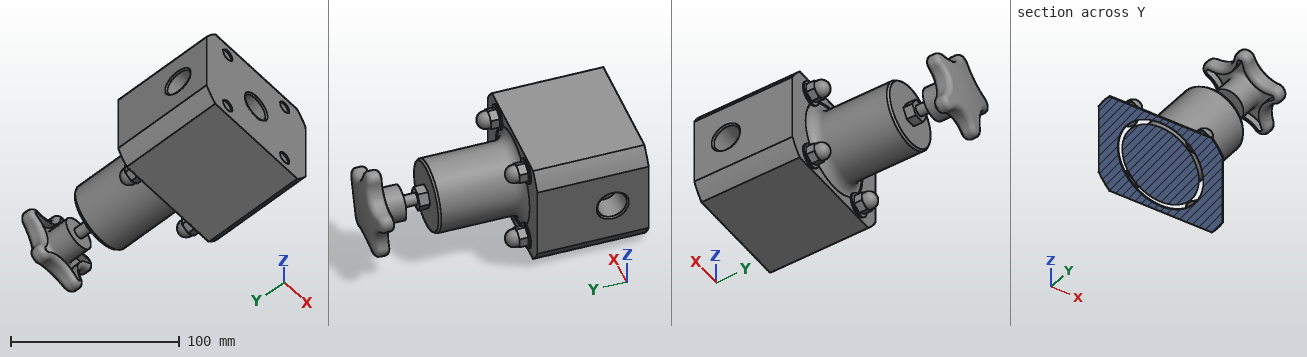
import cadquery as cq
import math


block_width = 88.8
block_height = 69.8
block_length = 69.8
corner_circle_diameter = 101.2

port_diameter = 18.3
port_mouth_diameter = 20.3
port_depth = 16.5
port_mouth_chamfer = (port_mouth_diameter - port_diameter) / 2
side_port_y = 22.6

stud_offset = 25.5
stud_hole_diameter = 8.5
stud_hole_depth = 1.0
washer_diameter = 15.8
washer_thickness = 1.0
cap_nut_flats = 11.0
cap_nut_hex_height = 5.5
cap_nut_collar_height = 1.5
cap_nut_corner_angle = 90
cap_nut_dome_radius = cap_nut_flats / 2

recess_diameter = 61.0
recess_depth = 1.0
bonnet_diameter = 45.7
bonnet_foot_diameter = 60.3
bonnet_length = 54.1
bonnet_chamfer_width = 1.0
bonnet_chamfer_length = 1.5
bonnet_flare_radius = (bonnet_foot_diameter - bonnet_diameter) / 2

stem_diameter = 7.5
stem_exposed_length = 9.7
lock_nut_flats = 12.9
lock_nut_height = 6.5
lock_nut_corner_angle = 0

hub_diameter = 22.1
hub_length = 12.5
lobe_count = 5
lobe_center_radius = 23.5
lobe_tip_radius = 5.5
scallop_radius = 13.5
crown_radius = 115.5
rim_fillet = 3.3
wheel_wall_thickness = 3.6
wheel_pocket_depth = 4.6
hub_root_fillet = 3.0

overall_length = 165.1
bonnet_end_y = block_length + bonnet_length
lock_nut_end_y = bonnet_end_y + lock_nut_height
hub_start_y = lock_nut_end_y + stem_exposed_length
wheel_start_y = hub_start_y + hub_length


def plane_at(y):
    """Workplane across the main axis; negative extrusions run toward +Y."""
    return cq.Workplane("XZ", origin=(0, y, 0))


def cylinder(diameter, start_y, length):
    return plane_at(start_y).circle(diameter / 2).extrude(-length)


def hexagon(flats, start_y, height, first_corner_angle):
    across_corners = flats / math.cos(math.pi / 6)
    return (
        plane_at(start_y)
        .transformed(rotate=(0, 0, first_corner_angle))
        .polygon(6, across_corners)
        .extrude(-height)
    )


def at_studs(y):
    return plane_at(y).rect(2 * stud_offset, 2 * stud_offset, forConstruction=True).vertices()


def port(face_point, inward):
    """Blind port with a chamfered mouth, as a cutting tool."""
    mouth = cq.Solid.makeCone(
        port_mouth_diameter / 2, port_diameter / 2, port_mouth_chamfer, face_point, inward
    )
    bore = cq.Solid.makeCylinder(port_diameter / 2, port_depth, face_point, inward)
    return cq.Workplane(bore.fuse(mouth))


def make_block():
    block = plane_at(0).rect(block_width, block_height).extrude(-block_length)
    block = block.intersect(cylinder(corner_circle_diameter, 0, block_length))
    block = block.cut(port(cq.Vector(0, 0, 0), cq.Vector(0, 1, 0)))
    for side in (-1, 1):
        side_face = cq.Vector(side * block_width / 2, side_port_y, 0)
        block = block.cut(port(side_face, cq.Vector(-side, 0, 0)))
    block = block.cut(at_studs(0).circle(stud_hole_diameter / 2).extrude(-stud_hole_depth))
    return block.cut(cylinder(recess_diameter, block_length - recess_depth, recess_depth))


def make_bonnet():
    """Turned body with a concave flare down to its foot."""
    foot_y = block_length - recess_depth
    flare_top_y = foot_y + bonnet_flare_radius
    radius = bonnet_diameter / 2
    flare_middle = bonnet_flare_radius * (1 - math.sqrt(0.5))
    return (
        cq.Workplane("XY")
        .moveTo(0, foot_y)
        .lineTo(bonnet_foot_diameter / 2, foot_y)
        .threePointArc((radius + flare_middle, foot_y + flare_middle), (radius, flare_top_y))
        .lineTo(radius, bonnet_end_y - bonnet_chamfer_length)
        .lineTo(radius - bonnet_chamfer_width, bonnet_end_y)
        .lineTo(0, bonnet_end_y)
        .close()
        .revolve(360, (0, 0, 0), (0, 1, 0))
    )


def make_cap_nut():
    """Washer, hexagon and domed cap, centred on the main axis."""
    hex_y = block_length + washer_thickness
    collar_y = hex_y + cap_nut_hex_height
    dome_y = collar_y + cap_nut_collar_height
    dome = cq.Workplane("XY").sphere(cap_nut_dome_radius).translate((0, dome_y, 0))
    return (
        cylinder(washer_diameter, block_length, washer_thickness)
        .union(hexagon(cap_nut_flats, hex_y, cap_nut_hex_height, cap_nut_corner_angle))
        .union(cylinder(cap_nut_flats, collar_y, cap_nut_collar_height))
        .union(dome)
    )


def star_prism(inset, start_y, height):
    """Star with round lobes joined by tangent concave arcs, shrunk by an inset."""
    half_pitch = math.pi / lobe_count
    tip_radius = lobe_tip_radius - inset
    inset_scallop_radius = scallop_radius + inset

    half_spacing = lobe_center_radius * math.sin(half_pitch)
    center_rise = math.sqrt((lobe_tip_radius + scallop_radius) ** 2 - half_spacing**2)
    scallop_center_radius = lobe_center_radius * math.cos(half_pitch) + center_rise
    valley_radius = scallop_center_radius - inset_scallop_radius

    contact_angle = math.acos(half_spacing / (lobe_tip_radius + scallop_radius)) - half_pitch
    contact_along = lobe_center_radius + tip_radius * math.sin(contact_angle)
    contact_across = tip_radius * math.cos(contact_angle)

    def polar(along, across, angle):
        x = along * math.cos(angle) - across * math.sin(angle)
        z = along * math.sin(angle) + across * math.cos(angle)
        return (x, z)

    outline = plane_at(start_y).moveTo(*polar(contact_along, -contact_across, math.pi / 2))
    for lobe in range(lobe_count):
        angle = math.pi / 2 + 2 * half_pitch * lobe
        tip = polar(lobe_center_radius + tip_radius, 0, angle)
        tip_end = polar(contact_along, contact_across, angle)
        valley = polar(valley_radius, 0, angle + half_pitch)
        next_tip_start = polar(contact_along, -contact_across, angle + 2 * half_pitch)
        outline = outline.threePointArc(tip, tip_end).threePointArc(valley, next_tip_start)
    return outline.close().extrude(-height)


def make_handwheel():
    """Star with a crowned top, rounded rim and hollow underside around the hub."""
    crown = cq.Workplane("XY").sphere(crown_radius).translate((0, overall_length - crown_radius, 0))
    blank_height = 2 * (overall_length - wheel_start_y)
    star = star_prism(0, wheel_start_y, blank_height).intersect(crown)
    star = star.edges("not |Y").fillet(rim_fillet)
    star = star.cut(star_prism(wheel_wall_thickness, wheel_start_y, wheel_pocket_depth))

    floor_y = wheel_start_y + wheel_pocket_depth
    hub_radius = hub_diameter / 2
    root_middle = hub_root_fillet * (1 - math.sqrt(0.5))
    hub = (
        cq.Workplane("XY")
        .moveTo(0, hub_start_y)
        .lineTo(hub_radius, hub_start_y)
        .lineTo(hub_radius, floor_y - hub_root_fillet)
        .threePointArc(
            (hub_radius + root_middle, floor_y - root_middle),
            (hub_radius + hub_root_fillet, floor_y),
        )
        .lineTo(0, floor_y)
        .close()
        .revolve(360, (0, 0, 0), (0, 1, 0))
    )
    return star.union(hub)


result = make_block().union(make_bonnet())
cap_nut = make_cap_nut()
for x in (-stud_offset, stud_offset):
    for z in (-stud_offset, stud_offset):
        result = result.union(cap_nut.translate((x, 0, z)))
lock_nut = hexagon(lock_nut_flats, bonnet_end_y, lock_nut_height, lock_nut_corner_angle)
result = result.union(lock_nut)
stem = cylinder(stem_diameter, lock_nut_end_y, stem_exposed_length)
result = result.union(stem)
result = result.union(make_handwheel())